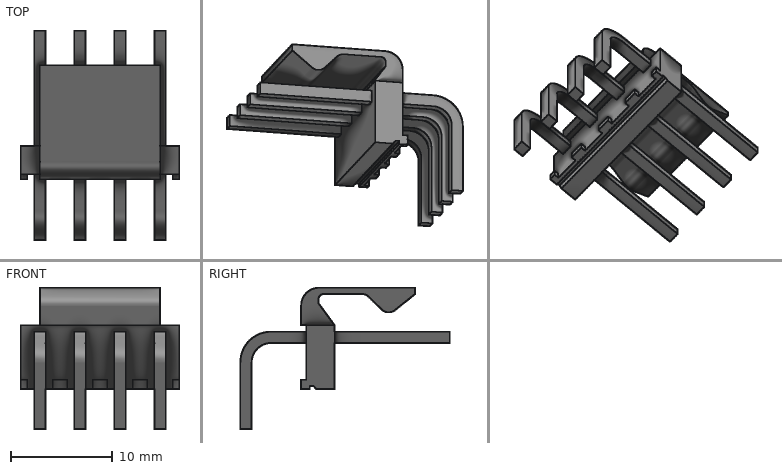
import cadquery as cq
import math


pin_count = 4
pitch = 3.95
pin_size = 1.14
pin_top = 9.63
bend_outer_radius = 3.05
bend_inner_radius = bend_outer_radius - pin_size
pin_end_y = 20.7

wall_length = 15.7
wall_front = 6.5
wall_thickness = 2.82
wall_rear = wall_front + wall_thickness
wall_bottom = 3.93
wall_top = 10.27

foot_reach = 0.5
foot_height = 0.95
foot_length = 1.4
end_foot_length = 0.66

groove_front = 6.88
groove_depth = 0.31
groove_roof_length = 0.37
groove_mouth_length = 0.62

clip_length = (pin_count - 1) * pitch
clip_front = wall_front - foot_reach
clip_rear = 17.3
clip_top = 13.98
clip_corner_radius = 1.8
arm_thickness = 0.65
arm_bottom = clip_top - arm_thickness
stem_thickness = 1.74
stem_rear = clip_front + stem_thickness
stem_slope_top = 12.43
inner_corner_radius = 0.5
hook_bottom = 11.18
hook_y = 14.6
hook_front_y = 12.43
hook_root_radius = 1.04
hook_tip_radius = 1.0


def x_extrusion(outline, length):
    """Extrude a Y-Z outline along X, centred on X = 0."""
    return outline.close().extrude(length / 2, both=True)


def row_positions(count):
    """X positions of items spaced at the pin pitch and centred on X = 0."""
    return [(i - (count - 1) / 2) * pitch for i in range(count)]


def make_wall():
    wall_height = wall_top - wall_bottom
    wall = cq.Workplane("XY").box(wall_length, wall_thickness, wall_height, centered=(True, False, False))
    return wall.translate((0, wall_front, wall_bottom))


def make_foot(length, x):
    foot = cq.Workplane("XY").box(length, foot_reach, foot_height, centered=(True, False, False))
    return foot.translate((x, wall_front - foot_reach, wall_bottom))


def make_groove():
    groove_top = wall_bottom + groove_depth
    outline = (
        cq.Workplane("YZ")
        .moveTo(groove_front, wall_bottom)
        .lineTo(groove_front, groove_top)
        .lineTo(groove_front + groove_roof_length, groove_top)
        .lineTo(groove_front + groove_mouth_length, wall_bottom)
    )
    return x_extrusion(outline, wall_length)


def round_edge(body, y, z, radius):
    """Round the edge along X that passes through (y, z)."""
    return body.edges(cq.selectors.NearestToPointSelector((0, y, z))).fillet(radius)


def make_clip():
    outline = (
        cq.Workplane("YZ")
        .moveTo(clip_front, wall_top)
        .lineTo(clip_front, clip_top)
        .lineTo(clip_rear, clip_top)
        .lineTo(clip_rear, arm_bottom)
        .lineTo(hook_y, hook_bottom)
        .lineTo(hook_front_y, arm_bottom)
        .lineTo(stem_rear, arm_bottom)
        .lineTo(stem_rear, stem_slope_top)
        .lineTo(wall_rear, wall_top)
    )
    clip = x_extrusion(outline, clip_length)
    clip = round_edge(clip, clip_front, clip_top, clip_corner_radius)
    clip = round_edge(clip, stem_rear, arm_bottom, inner_corner_radius)
    clip = round_edge(clip, hook_front_y, arm_bottom, hook_root_radius)
    return round_edge(clip, hook_y, hook_bottom, hook_tip_radius)


def make_housing():
    housing = make_wall().union(make_clip())
    for x in row_positions(pin_count - 1):
        housing = housing.union(make_foot(foot_length, x))
    end_foot_x = (wall_length - end_foot_length) / 2
    for x in (-end_foot_x, end_foot_x):
        housing = housing.union(make_foot(end_foot_length, x))
    return housing.cut(make_groove())


def make_bent_pin(x):
    """Pin that leaves the wall's front face and bends down to Z = 0."""
    bend_z = pin_top - bend_outer_radius
    diagonal = math.sqrt(0.5)
    outer_mid = bend_outer_radius * diagonal
    inner_mid = bend_inner_radius * diagonal
    outline = (
        cq.Workplane("YZ")
        .moveTo(wall_front, pin_top)
        .lineTo(bend_outer_radius, pin_top)
        .threePointArc((bend_outer_radius - outer_mid, bend_z + outer_mid), (0, bend_z))
        .lineTo(0, 0)
        .lineTo(pin_size, 0)
        .lineTo(pin_size, bend_z)
        .threePointArc(
            (bend_outer_radius - inner_mid, bend_z + inner_mid),
            (bend_outer_radius, pin_top - pin_size),
        )
        .lineTo(wall_front, pin_top - pin_size)
    )
    return x_extrusion(outline, pin_size).translate((x, 0, 0))


def make_straight_pin(x):
    """Pin that leaves the wall's rear face in line with a bent pin."""
    pin_length = pin_end_y - wall_rear
    pin = cq.Workplane("XY").box(pin_size, pin_length, pin_size, centered=(True, False, False))
    return pin.translate((x, wall_rear, pin_top - pin_size))


housing = make_housing()
pin_positions = row_positions(pin_count)
bent_pins = [make_bent_pin(x).val() for x in pin_positions]
straight_pins = [make_straight_pin(x).val() for x in pin_positions]

result = cq.Compound.makeCompound([housing.val(), *bent_pins, *straight_pins])